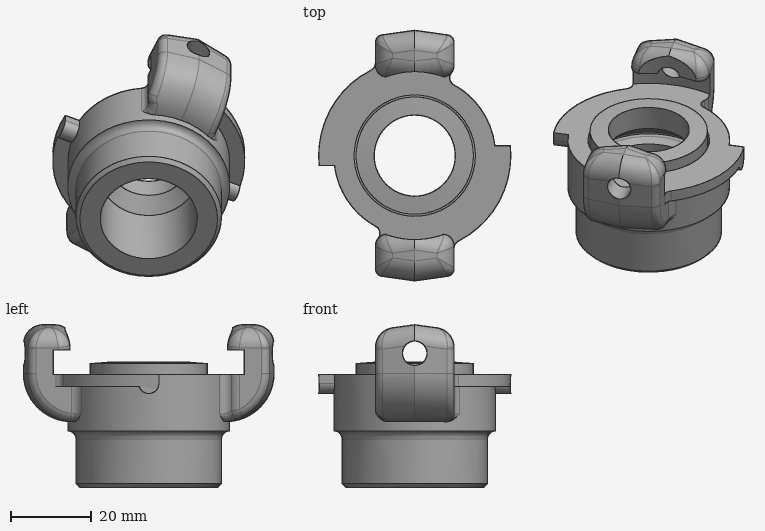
import cadquery as cq
import math

spigot_radius = 36 / 2
spigot_chamfer = 1.0
barrel_radius = 40 / 2
barrel_bottom = 14.0
step_radius = barrel_radius - spigot_radius
housing_top = 28.0

mouth_radius = 30 / 2
seat_radius = 35 / 2
seat_floor = 19.5
seat_roof = 24.0
funnel_radius = 14.5
funnel_depth = 0.6
bore_radius = 24 / 2

flange_radius = 47.5 / 2
flange_thickness = 3.0
flange_bottom = housing_top - flange_thickness
flange_overrun = 2.5
bump_radius = flange_overrun
bump_axis_height = 25.75
buried_radius = 18.0

claw_half_width = 19.5 / 2
claw_reach = 62 / 2
claw_inner_reach = 18.4
claw_bottom = 16.25
claw_top = 40.28
claw_slope = math.tan(math.radians(8))
claw_drop = claw_half_width * claw_slope
claw_shoulder_height = claw_top - claw_drop
claw_side_outer = claw_reach - claw_drop
claw_side_inner = claw_inner_reach + claw_drop
claw_heel_radius = 12.0
claw_crown_radius = 5.0
claw_edge_radius = 2.0
claw_corner_radius = 3.0
claw_hole_radius = 6 / 2
claw_hole_height = 33.2
slot_top = 34.0
slot_radius = 25.5
nose_clearance_radius = 20.75
nose_edge_lift = 0.3

flange_corner_radius = 2.0
open_corner_radius = 2.0
covered_corner_radius = 3.0

seal_bore_radius = 20 / 2
seal_neck_radius = 29 / 2
seal_flange_radius = 34.5 / 2
seal_top = 31.0
seal_rim_height = 30.65
seal_bore_bottom = 24.8
seal_hollow_radius = 15.7
seal_hollow_wall = 0.5


def polar(radius, angle):
    return (radius * math.cos(angle), radius * math.sin(angle))


def arc_middle(center, radius, start, end):
    """Middle point of the short arc from start to end."""
    angle = math.atan2(start[1] + end[1] - 2 * center[1], start[0] + end[0] - 2 * center[0])
    x, y = polar(radius, angle)
    return (center[0] + x, center[1] + y)


def side_corner(rim_radius, corner_radius):
    """Round between the claw's -X side and a rim: centre, point on the side, point on the rim."""
    x = -(claw_half_width + corner_radius)
    y = math.sqrt((rim_radius + corner_radius) ** 2 - x**2)
    rim_share = rim_radius / (rim_radius + corner_radius)
    return (x, y), (-claw_half_width, y), (x * rim_share, y * rim_share)


def half_turn_pair(shape):
    """The shape and its copy turned half a turn about Z."""
    return [shape.rotate((0, 0, 0), (0, 0, 1), turn) for turn in (0, 180)]


def cylinder(radius, bottom, top):
    return cq.Workplane("XY").workplane(offset=bottom).circle(radius).extrude(top - bottom)


def fillet_edges_at(body, points, radius):
    """Round the edges that pass closest to the given points."""
    chosen = []
    for point in points:
        probe = cq.Vertex.makeVertex(*point)
        chosen.append(min(body.edges().vals(), key=lambda edge: edge.distance(probe)))
    return body.newObject(chosen).fillet(radius)


def make_turned_body():
    return (
        cq.Workplane("XZ")
        .moveTo(0, 0)
        .lineTo(spigot_radius - spigot_chamfer, 0)
        .lineTo(spigot_radius, spigot_chamfer)
        .lineTo(spigot_radius, barrel_bottom - step_radius)
        .radiusArc((barrel_radius, barrel_bottom), step_radius)
        .lineTo(barrel_radius, housing_top)
        .lineTo(0, housing_top)
        .close()
        .revolve(360, (0, 0, 0), (0, 1, 0))
    )


def make_seat_and_bore():
    return (
        cq.Workplane("XZ")
        .moveTo(0, 0)
        .lineTo(bore_radius, 0)
        .lineTo(bore_radius, seat_floor - funnel_depth)
        .lineTo(funnel_radius, seat_floor)
        .lineTo(seat_radius, seat_floor)
        .lineTo(seat_radius, seat_roof)
        .lineTo(mouth_radius, seat_roof)
        .lineTo(mouth_radius, housing_top)
        .lineTo(0, housing_top)
        .close()
        .revolve(360, (0, 0, 0), (0, 1, 0))
    )


def make_half_flange():
    """Flange on the -X side, from the +Y claw to just past the X axis, with its bump."""
    center, on_side, on_rim = side_corner(flange_radius, flange_corner_radius)
    rim_end = (-math.sqrt(flange_radius**2 - flange_overrun**2), -flange_overrun)
    plate = (
        cq.Workplane("XY")
        .workplane(offset=flange_bottom)
        .moveTo(0, buried_radius)
        .lineTo(0, on_side[1])
        .lineTo(*on_side)
        .threePointArc(arc_middle(center, flange_corner_radius, on_side, on_rim), on_rim)
        .threePointArc(arc_middle((0, 0), flange_radius, on_rim, rim_end), rim_end)
        .lineTo(-buried_radius, -flange_overrun)
        .threePointArc(polar(buried_radius, math.radians(135)), (0, buried_radius))
        .close()
        .extrude(flange_thickness)
    )
    tail_underside = (
        cq.Workplane("XY")
        .rect(2 * flange_radius, 2 * flange_overrun)
        .extrude(bump_axis_height)
        .translate((0, -flange_overrun, 0))
    )
    bump = (
        cq.Workplane("YZ")
        .center(0, bump_axis_height)
        .circle(bump_radius)
        .extrude(-flange_radius)
        .intersect(cylinder(flange_radius, 0, bump_axis_height))
        .cut(cylinder(buried_radius, 0, housing_top))
    )
    return plate.cut(tail_underside).union(bump)


def make_claw_root():
    """Lower part of the +Y claw, with the concave corners that lead into the barrel."""
    round_x = claw_half_width - claw_corner_radius
    inner_face_y = claw_inner_reach + round_x * claw_slope
    round_y = inner_face_y + claw_corner_radius * math.hypot(1, claw_slope)
    round_center = (round_x, round_y)
    round_start = (claw_half_width, round_y)

    barrel_to_hollow = barrel_radius + open_corner_radius
    round_to_hollow = claw_corner_radius + open_corner_radius
    axis_to_round = math.hypot(*round_center)
    cosine = (barrel_to_hollow**2 + axis_to_round**2 - round_to_hollow**2) / (
        2 * barrel_to_hollow * axis_to_round
    )
    hollow_angle = math.atan2(round_y, round_x) - math.acos(cosine)
    hollow_center = polar(barrel_to_hollow, hollow_angle)
    hollow_start = polar(barrel_radius, hollow_angle)
    round_share = claw_corner_radius / round_to_hollow
    hollow_end = (
        round_x + (hollow_center[0] - round_x) * round_share,
        round_y + (hollow_center[1] - round_y) * round_share,
    )

    covered_center, on_side, on_barrel = side_corner(barrel_radius, covered_corner_radius)
    covered_angle = math.atan2(on_barrel[1], on_barrel[0])
    return (
        cq.Workplane("XY")
        .workplane(offset=claw_bottom)
        .moveTo(*polar(buried_radius, hollow_angle))
        .lineTo(*hollow_start)
        .threePointArc(arc_middle(hollow_center, open_corner_radius, hollow_start, hollow_end), hollow_end)
        .threePointArc(arc_middle(round_center, claw_corner_radius, hollow_end, round_start), round_start)
        .lineTo(claw_half_width, claw_side_outer)
        .lineTo(0, claw_reach)
        .lineTo(-claw_half_width, claw_side_outer)
        .lineTo(*on_side)
        .threePointArc(arc_middle(covered_center, covered_corner_radius, on_side, on_barrel), on_barrel)
        .lineTo(*polar(buried_radius, covered_angle))
        .close()
        .extrude(housing_top - claw_bottom)
    )


def make_claw_head():
    """Upper part of the +Y claw: inner, outer and top faces are all pitched from the middle."""
    plan = (
        cq.Workplane("XY")
        .workplane(offset=housing_top)
        .moveTo(0, claw_inner_reach)
        .lineTo(claw_half_width, claw_side_inner)
        .lineTo(claw_half_width, claw_side_outer)
        .lineTo(0, claw_reach)
        .lineTo(-claw_half_width, claw_side_outer)
        .lineTo(-claw_half_width, claw_side_inner)
        .close()
        .extrude(claw_top - housing_top)
    )
    gable = (
        cq.Workplane("XZ")
        .moveTo(-claw_half_width, housing_top)
        .lineTo(claw_half_width, housing_top)
        .lineTo(claw_half_width, claw_shoulder_height)
        .lineTo(0, claw_top)
        .lineTo(-claw_half_width, claw_shoulder_height)
        .close()
        .extrude(-claw_reach)
    )
    return plan.intersect(gable)


def make_claw():
    claw = make_claw_root().union(make_claw_head()).clean()
    sides = (-claw_half_width, claw_half_width)
    halves = (-claw_half_width / 2, claw_half_width / 2)
    outer_middle = claw_reach - claw_drop / 2
    inner_middle = claw_inner_reach + claw_drop / 2
    top_middle = claw_top - claw_drop / 2

    heel_edges = [(x, outer_middle, claw_bottom) for x in halves]
    claw = fillet_edges_at(claw, heel_edges, claw_heel_radius)

    crown_edges = [(x, y, top_middle) for x in halves for y in (outer_middle, inner_middle)]
    crown_edges += [(x, (outer_middle + inner_middle) / 2, claw_shoulder_height) for x in sides]
    claw = fillet_edges_at(claw, crown_edges, claw_crown_radius)

    claw = claw.cut(cylinder(slot_radius, housing_top, slot_top))
    nose_edges = [(x, claw_side_inner, slot_top + nose_edge_lift) for x in sides]
    claw = fillet_edges_at(claw, nose_edges, claw_corner_radius)
    outer_edges = [(x, claw_side_outer, housing_top + 1) for x in sides]
    claw = fillet_edges_at(claw, outer_edges, claw_edge_radius)

    claw = claw.cut(cylinder(nose_clearance_radius, housing_top, claw_top))
    hole = cq.Workplane("XZ").center(0, claw_hole_height).circle(claw_hole_radius).extrude(-claw_reach)
    return claw.cut(hole)


def make_housing():
    housing = make_turned_body()
    for flange in half_turn_pair(make_half_flange()):
        housing = housing.union(flange)
    for claw in half_turn_pair(make_claw()):
        housing = housing.union(claw)
    return housing.cut(make_seat_and_bore()).solids()


def make_seal_ring():
    """Ring with a coned top face, a flange held in the seat and a conical hollow underside."""
    return (
        cq.Workplane("XZ")
        .moveTo(seal_bore_radius, seal_top)
        .lineTo(seal_neck_radius, seal_rim_height)
        .lineTo(seal_neck_radius, seat_roof)
        .lineTo(seal_flange_radius, seat_roof)
        .lineTo(seal_flange_radius, seat_floor)
        .lineTo(seal_hollow_radius, seat_floor)
        .lineTo(seal_hollow_radius, seat_floor + seal_hollow_wall)
        .lineTo(seal_bore_radius, seal_bore_bottom)
        .close()
        .revolve(360, (0, 0, 0), (0, 1, 0))
    )


housing = make_housing()
seal_ring = make_seal_ring()
result = cq.Compound.makeCompound([housing.val(), seal_ring.val()])